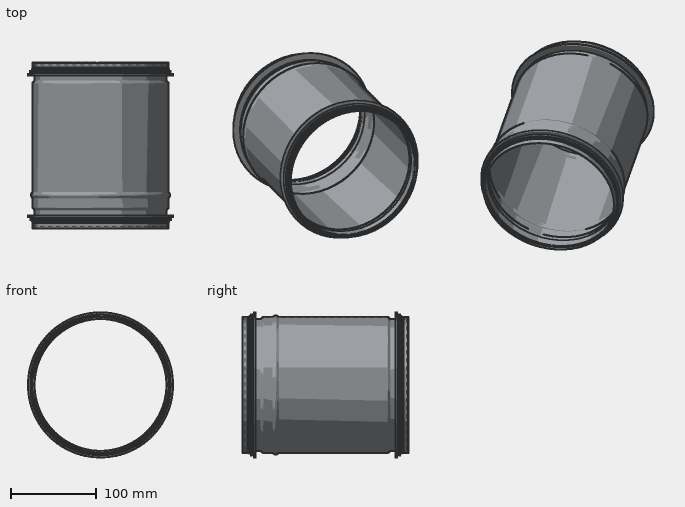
import cadquery as cq
import math

length = 194.0
wall = 0.5
pipe_radius = 159.0 / 2

neck_radius = 154.2 / 2
shoulder_start = 21.5
shoulder_angle = 40.0
shoulder_bend = 1.1

hem_length = 6.2
hem_round = (pipe_radius - neck_radius + wall) / 2

bead_centre = 39.1
bead_half_width = 3.6
bead_angle = 32.0
bead_crest_bend = 3.0
bead_foot_bend = 1.2

lip_radius = 155.4 / 2
gasket_radius = pipe_radius - wall
gasket_start = 2.9
collar_radius = 80.3
collar_slope_start = 7.5
collar_slope_end = 8.6
small_fin_radius = 164.4 / 2
small_fin_start = 9.8
small_fin_thickness = 1.8
large_fin_radius = 169.4 / 2
large_fin_thickness = 2.4
fin_edge_round = 0.3
gasket_end = 16.0


def revolve_about_y(profile):
    return profile.close().revolve(360, (0, 0, 0), (0, 1, 0))


def round_corner(profile, before, corner, after, bend):
    """Draw to the corner and around it with a tangent arc of radius bend."""
    corner = cq.Vector(*corner)
    back = (cq.Vector(*before) - corner).normalized()
    ahead = (cq.Vector(*after) - corner).normalized()
    half_angle = back.getAngle(ahead) / 2
    trim = bend / math.tan(half_angle)
    to_middle = bend / math.sin(half_angle) - bend
    middle = corner + (back + ahead).normalized() * to_middle
    profile = profile.lineTo(*(corner + back * trim).toTuple()[:2])
    return profile.threePointArc(middle.toTuple()[:2], (corner + ahead * trim).toTuple()[:2])


def pressed_corners(inset):
    """Corners (point, bend radius) of the pressed sheet on the face lying inset below its outer face."""
    body = pipe_radius - inset
    neck = neck_radius - inset

    shoulder_slope = math.radians(shoulder_angle)
    shoulder_foot = shoulder_start + inset * math.tan(shoulder_slope / 2)
    shoulder_top = shoulder_foot + (pipe_radius - neck_radius) / math.tan(shoulder_slope)

    bead_slope = math.radians(bead_angle)
    half_width = bead_half_width - inset * math.tan(bead_slope / 2)
    apex = body + half_width * math.tan(bead_slope)

    return [
        ((neck, shoulder_foot), shoulder_bend + inset),
        ((body, shoulder_top), shoulder_bend - inset),
        ((body, bead_centre - half_width), bead_foot_bend + inset),
        ((apex, bead_centre), bead_crest_bend - inset),
        ((body, bead_centre + half_width), bead_foot_bend + inset),
        ((body, length - shoulder_top), shoulder_bend - inset),
        ((neck, length - shoulder_foot), shoulder_bend + inset),
    ]


def draw_corners(profile, start, corners, end):
    """Draw from start to end through rounded corners."""
    points = [start] + [point for point, bend in corners] + [end]
    for i, (point, bend) in enumerate(corners):
        profile = round_corner(profile, points[i], point, points[i + 2], bend)
    return profile.lineTo(*end)


def make_hem():
    """Curled rim of the front mouth, joining the neck at the start of its half circle."""
    fold_radius = pipe_radius - wall
    mouth_radius = neck_radius - wall
    hem_middle = pipe_radius - hem_round
    profile = (
        cq.Workplane("XY")
        .moveTo(neck_radius, hem_round)
        .threePointArc((hem_middle, wall), (fold_radius, hem_round))
        .lineTo(fold_radius, hem_length)
        .lineTo(pipe_radius, hem_length)
        .lineTo(pipe_radius, hem_round)
        .threePointArc((hem_middle, 0), (mouth_radius, hem_round))
    )
    return revolve_about_y(profile)


def make_tube():
    """Sheet tube between the two hems, with both shoulders and the bead pressed into it."""
    neck_bore = neck_radius - wall
    outer_front = (neck_radius, hem_round)
    outer_rear = (neck_radius, length - hem_round)
    inner_front = (neck_bore, hem_round)
    inner_rear = (neck_bore, length - hem_round)

    profile = cq.Workplane("XY").moveTo(*outer_front)
    profile = draw_corners(profile, outer_front, pressed_corners(0), outer_rear)
    profile = profile.lineTo(*inner_rear)
    profile = draw_corners(profile, inner_rear, pressed_corners(wall)[::-1], inner_front)
    return revolve_about_y(profile)


def draw_fin(profile, root_radius, tip_radius, start, thickness):
    """Draw out along one side of a fin, over its tip with rounded edges and back to root_radius."""
    end = start + thickness
    side_end = tip_radius - fin_edge_round
    mid_round = fin_edge_round * (1 - math.sqrt(0.5))
    return (
        profile.lineTo(side_end, start)
        .threePointArc((tip_radius - mid_round, start + mid_round), (tip_radius, start + fin_edge_round))
        .lineTo(tip_radius, end - fin_edge_round)
        .threePointArc((tip_radius - mid_round, end - mid_round), (side_end, end))
        .lineTo(root_radius, end)
    )


def make_gasket():
    """Gasket at the front end of the pipe."""
    profile = (
        cq.Workplane("XY")
        .moveTo(neck_radius, gasket_start)
        .lineTo(lip_radius, gasket_start)
        .lineTo(lip_radius, hem_length)
        .lineTo(gasket_radius, hem_length)
        .lineTo(gasket_radius, collar_slope_start)
        .lineTo(collar_radius, collar_slope_end)
        .lineTo(collar_radius, small_fin_start)
    )
    profile = draw_fin(profile, gasket_radius, small_fin_radius, small_fin_start, small_fin_thickness)
    large_fin_start = gasket_end - large_fin_thickness
    profile = profile.lineTo(gasket_radius, large_fin_start)
    profile = draw_fin(profile, neck_radius, large_fin_radius, large_fin_start, large_fin_thickness)
    return revolve_about_y(profile)


def at_both_ends(part):
    """The part made for the front end, and its copy turned round to the rear end."""
    middle = length / 2
    return [part, part.rotate((0, middle, 0), (0, middle, 1), 180)]


pipe = make_tube()
for hem in at_both_ends(make_hem()):
    pipe = pipe.union(hem)

gaskets = at_both_ends(make_gasket())

result = cq.Compound.makeCompound([pipe.val(), *[gasket.val() for gasket in gaskets]])